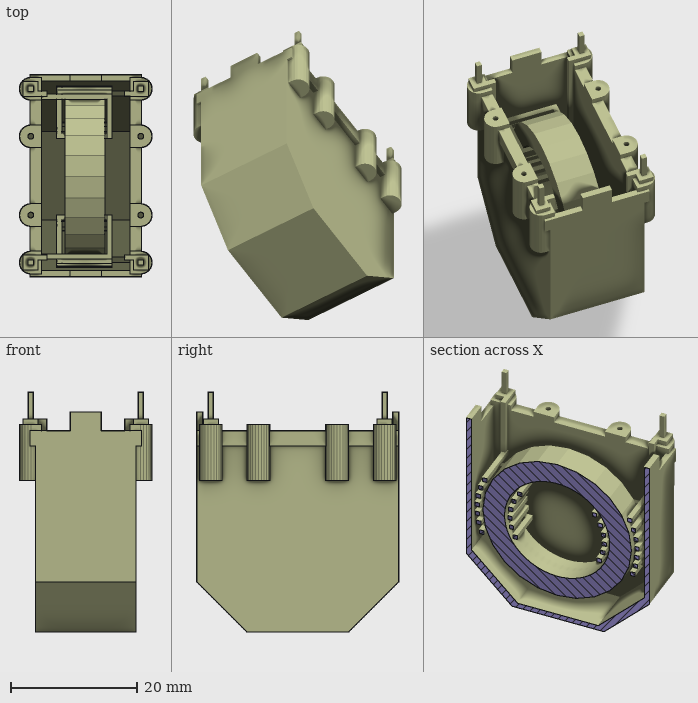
import cadquery as cq
import math

round_facets = 24

length = 32.0
half_length = length / 2
half_width = 7.98
wall = 1.0
rim_height = 31.92
slope = 7.98
inner_half_length = half_length - wall
inner_half_width = half_width - wall

band_half_width = 8.85
band_bottom = 29.5

tab_half_width = 2.47
tab_top = 34.9

width_over_posts = 21.0
post_x = 8.7
post_radius = width_over_posts / 2 - post_x
post_bottom = 23.98
post_top = 32.9
corner_post_y = 13.75
middle_post_y = 6.25
screw_hole_diameter = 0.9
screw_hole_depth = 7.6

wire = 0.85

pin_top = 38.0
plate_top = 33.8
plate_outer_x = 9.95
plate_inner_x = 7.55
plate_end_y = 14.95
leg_y = 12.55
leg_inner_x = inner_half_width - wire

core_x = -0.133
core_y = -0.15
core_z = 17.65
core_width = 6.35
core_radius = 13.0
core_hole_radius = 9.12

turns = 6
layer_drop = 0.87
coil_left = -4.6
coil_right = 4.18
outer_bar_radius = 13.95
inner_bar_radius = 8.2
first_layer_rise = 5.9


def box_between(x_ends, y_ends, z_ends):
    """Box spanning two X, two Y and two Z values, each pair in any order."""
    spans = [sorted(x_ends), sorted(y_ends), sorted(z_ends)]
    lows = [span[0] for span in spans]
    sizes = [span[1] - span[0] for span in spans]
    return cq.Workplane("XY").box(*sizes, centered=False).translate(tuple(lows))


def sloped_block(half_x, half_y, bottom, top):
    """Block whose two ends slope in at 45 degrees towards its bottom."""
    outline = [
        (-half_y + slope, bottom),
        (half_y - slope, bottom),
        (half_y, bottom + slope),
        (half_y, top),
        (-half_y, top),
        (-half_y, bottom + slope),
    ]
    return cq.Workplane("YZ").polyline(outline).close().extrude(half_x, both=True)


def make_post(side, y):
    """Post on one long wall, faceted half-round outside and flush with the inside of the wall."""
    steps = round_facets // 2
    rim = []
    for step in range(steps + 1):
        angle = math.pi * step / steps - math.pi / 2
        rim.append(
            (side * (post_x + post_radius * math.cos(angle)), y + post_radius * math.sin(angle))
        )
    inner_x = side * inner_half_width
    outline = [(inner_x, y - post_radius), *rim, (inner_x, y + post_radius)]
    return (
        cq.Workplane("XY", origin=(0, 0, post_bottom))
        .polyline(outline)
        .close()
        .extrude(post_top - post_bottom)
    )


def make_housing():
    body = sloped_block(half_width, half_length, 0, rim_height)
    band = box_between(
        (-band_half_width, band_half_width), (-half_length, half_length), (band_bottom, rim_height)
    )
    tabs = box_between(
        (-tab_half_width, tab_half_width), (-half_length, half_length), (rim_height, tab_top)
    )
    cavity = sloped_block(inner_half_width, inner_half_length, wall, tab_top)
    body = body.union(band).union(tabs).cut(cavity)
    for side in (-1, 1):
        for y in (-corner_post_y, -middle_post_y, middle_post_y, corner_post_y):
            body = body.union(make_post(side, y))
    screw_holes = (
        cq.Workplane("XY", origin=(0, 0, post_top))
        .rect(2 * post_x, 2 * middle_post_y, forConstruction=True)
        .vertices()
        .circle(screw_hole_diameter / 2)
        .extrude(-screw_hole_depth)
    )
    return body.cut(screw_holes)


def make_core():
    """Ring with a many-sided outside, a corner at its top, and a round hole."""
    ring = cq.Workplane("YZ", origin=(core_x - core_width / 2, core_y, core_z))
    return ring.polygon(round_facets, 2 * core_radius).circle(core_hole_radius).extrude(core_width)


def make_terminal(side, end, leg_bottom):
    """Upright pin on a corner plate, with a leg going down inside the housing."""
    leg_ends_x = (side * inner_half_width, side * leg_inner_x)
    leg_ends_y = (end * leg_y, end * (leg_y + wire))
    plate = box_between(
        (side * plate_inner_x, side * plate_outer_x),
        (end * leg_y, end * plate_end_y),
        (post_top, plate_top),
    )
    arm = box_between((side * plate_inner_x, side * leg_inner_x), leg_ends_y, (post_top, plate_top))
    leg = box_between(leg_ends_x, leg_ends_y, (leg_bottom, plate_top))
    pin = (
        cq.Workplane("XY", origin=(side * post_x, end * corner_post_y, plate_top))
        .rect(wire, wire)
        .extrude(pin_top - plate_top)
    )
    return plate.union(arm).union(leg).union(pin)


def layer_rise(layer):
    """Height of the middle of a winding layer above the core axis."""
    return first_layer_rise - layer * layer_drop


def bar_y(end, layer, bar_radius):
    """Y of the middle of a bar that follows a circle round the core axis."""
    return core_y + end * math.sqrt(bar_radius**2 - layer_rise(layer) ** 2)


def layer_span(first, last):
    """Bottom and top of the wire from one layer down to another."""
    return (
        core_z + layer_rise(last) - wire / 2,
        core_z + layer_rise(first) + wire / 2,
    )


def cross_bar(x_ends, y, layer):
    """Bar along X, inside or outside the core ring."""
    return box_between(x_ends, (y - wire / 2, y + wire / 2), layer_span(layer, layer))


def side_bar(x_ends, y_from, y_to, layer):
    """Bar along Y beside the core, reaching to the far edges of the bars it joins."""
    low, high = sorted((y_from, y_to))
    return box_between(x_ends, (low - wire / 2, high + wire / 2), layer_span(layer, layer))


def riser(x_ends, y, layer):
    """Upright corner joining a layer to the next one down."""
    return box_between(x_ends, (y - wire / 2, y + wire / 2), layer_span(layer, layer + 1))


def make_winding(end):
    """Stepped coil with a terminal on its upper lead; its lower lead ends at the far wall."""
    left = (coil_left, coil_left + wire)
    right = (coil_right - wire, coil_right)
    across = (coil_left, coil_right)
    last_layer = 2 * turns

    lead_in = cross_bar((-inner_half_width, coil_left), bar_y(end, 0, outer_bar_radius), 0)
    lead_out = cross_bar(
        (coil_left, inner_half_width), bar_y(end, last_layer, outer_bar_radius), last_layer
    )
    coil = make_terminal(-1, end, layer_span(0, 0)[0]).union(lead_in).union(lead_out)
    for layer in range(0, last_layer, 2):
        outer_y = bar_y(end, layer, outer_bar_radius)
        inner_y = bar_y(end, layer + 1, inner_bar_radius)
        next_outer_y = bar_y(end, layer + 2, outer_bar_radius)
        coil = (
            coil.union(cross_bar(across, outer_y, layer))
            .union(side_bar(right, outer_y, inner_y, layer))
            .union(riser(right, inner_y, layer))
            .union(cross_bar(across, inner_y, layer + 1))
            .union(side_bar(left, inner_y, outer_y, layer + 1))
            .union(riser(left, outer_y, layer + 1))
            .union(side_bar(left, outer_y, next_outer_y, layer + 2))
        )
    return coil


housing = make_housing()
core = make_core()

lower_lead_top = layer_span(2 * turns, 2 * turns)[1]
windings = [make_winding(end) for end in (-1, 1)]
end_terminals = [make_terminal(1, end, lower_lead_top) for end in (-1, 1)]

result = cq.Compound.makeCompound(
    [
        housing.val(),
        core.val(),
        *[winding.val() for winding in windings],
        *[terminal.val() for terminal in end_terminals],
    ]
)